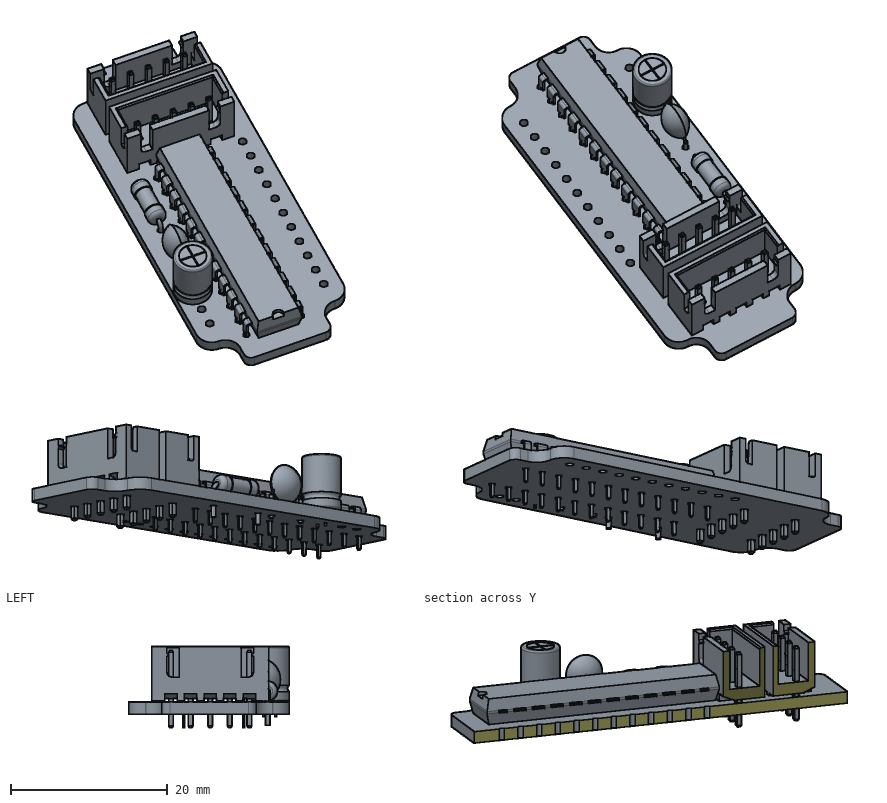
import cadquery as cq
import math


BOARD_LENGTH = 51.0
BOARD_WIDTH = 20.5
BOARD_THICKNESS = 1.6
WIDE_HALF_LENGTH = 21.25
TAB_HALF_WIDTH = 6.0
MIDDLE_CORNER_RADIUS = 2.15
INNER_CORNER_RADIUS = 2.05
TAB_CORNER_RADIUS = 1.0
HOLE_PITCH = 2.55
HEADER_HOLE_DIAMETER = 1.0
HEADER_ROW_Y = 7.95
LAST_HEADER_HOLE_X = 18.15
BACK_ROW_HOLES = 11
FRONT_ROW_HOLES = 2
CONNECTOR_HOLE_DIAMETER = 0.95
LEAD_HOLE_DIAMETER = 0.8
PIN_BOTTOM = -3.3
PIN_TIP_HEIGHT = 0.25

CONNECTOR_MIDDLE_X = -14.8
CONNECTOR_MIDDLE_Y = -0.15
CONNECTOR_PIN_OFFSET = 3.95
CONNECTOR_WIDTH = 5.7
CONNECTOR_LENGTH = 14.95
CONNECTOR_BASE = 0.1
CONNECTOR_TOP = 7.1
SLOTTED_FACE_X = -2.35
SLOTTED_WALL = 0.9
BACK_WALL = 0.75
END_WALL = 0.85
RIM_CHAMFER = 0.2
CONNECTOR_FLOOR = 2.0
END_SLOT_WIDTH = 0.95
END_SLOT_BOTTOM = 3.85
END_SLOT_FILLET = 0.4
KEY_SLOT_WIDTH = 1.6
KEY_SLOT_OFFSET = 4.75
KEY_SLOT_BOTTOM = 3.15
KEY_SLOT_FILLET = 0.7
LATCH_Z = 6.0
LATCH_HEIGHT = 0.5
LATCH_DEPTH = 0.25
CONNECTOR_PINS = 5
CONNECTOR_PIN_PITCH = 2.5
CONNECTOR_PIN_SIZE = 0.6
CONNECTOR_PIN_TOP = 6.6
CHANNEL_WIDTH = 1.6
CHANNEL_TOP = 0.4
CHANNEL_MOUTH_TOP = 1.05
CHANNEL_MOUTH_DEPTH = 1.55

CHIP_X = 7.7
CHIP_Y = -0.6
CHIP_LENGTH = 31.75
CHIP_WIDTH = 6.25
CHIP_BOTTOM = 0.45
CHIP_WAIST_BOTTOM = 2.05
CHIP_WAIST_TOP = 2.35
CHIP_TOP = 3.9
CHIP_SLOPE_INSET = 0.35
CHIP_NOTCH_RADIUS = 0.75
CHIP_NOTCH_DEPTH = 0.5
LEADS_PER_SIDE = 12
LEAD_ROW_OFFSET = 3.85
LEAD_THICKNESS = 0.25
LEAD_BEND_RADIUS = 0.45
LEAD_SHOULDER_WIDTH = 1.55
LEAD_SHOULDER_BOTTOM = 0.15
LEAD_PIN_WIDTH = 0.5
LEAD_TIP_CHAMFER = 0.15

RESISTOR_X = -2.15
RESISTOR_Y = -7.5
RESISTOR_Z = 1.405
RESISTOR_HALF_LENGTH = 3.2
RESISTOR_CAP_DIAMETER = 2.5
RESISTOR_CORE_DIAMETER = 2.25
RESISTOR_CORE_HALF_LENGTH = 1.6
RESISTOR_CAP_FILLET = 0.65
RESISTOR_LEAD_DIAMETER = 0.6
RESISTOR_LEAD_OFFSET = 3.85
RESISTOR_LEAD_BEND = 0.95
RESISTOR_LEAD_BOTTOM = -3.0

DISC_X = 6.5
DISC_Y = RESISTOR_Y
DISC_Z = 2.85
DISC_RADIUS = 2.5
DISC_HALF_THICKNESS = 1.65
DISC_LEAD_OFFSET = 2.5
DISC_LEAD_DIAMETER = 0.5
DISC_LEAD_TOP = 1.15
DISC_WIRE_DIAMETER = 0.3
DISC_WIRE_INSET = 0.6
DISC_WIRE_TOP = 2.55

CAN_X = 12.35
CAN_Y = -7.75
CAN_RADIUS = 2.5
CAN_BOTTOM = 0.1
CAN_TOP = 7.1
CAN_FILLET = 0.2
CAN_GROOVE_BOTTOM = 1.35
CAN_GROOVE_TOP = 2.15
CAN_GROOVE_DEPTH = 0.2
CAN_VENT_DIAMETER = 3.5
CAN_VENT_DEPTH = 0.05
CAN_SCORE_WIDTH = 0.1
CAN_LEAD_DIAMETER = 0.3
CAN_LEAD_OFFSET = 0.75

SHORT_LEAD_BOTTOM = -BOARD_THICKNESS - 0.3

connector_pin_ys = [CONNECTOR_PIN_PITCH * (i - (CONNECTOR_PINS - 1) / 2) for i in range(CONNECTOR_PINS)]
lead_xs = [HOLE_PITCH * (i - (LEADS_PER_SIDE - 1) / 2) for i in range(LEADS_PER_SIDE)]


def box(x0, x1, y0, y1, z0, z1):
    """Box between two corners."""
    return cq.Workplane("XY").box(x1 - x0, y1 - y0, z1 - z0, centered=False).translate((x0, y0, z0))


def rod(x, y, z0, z1, diameter):
    """Upright cylinder."""
    return cq.Workplane("XY", origin=(x, y, z0)).circle(diameter / 2).extrude(z1 - z0)


def drill(board, points, diameter):
    holes = cq.Workplane("XY").pushPoints(points).circle(diameter / 2).extrude(-BOARD_THICKNESS)
    return board.cut(holes)


def make_board():
    middle = (
        cq.Workplane("XY")
        .rect(2 * WIDE_HALF_LENGTH, BOARD_WIDTH)
        .extrude(-BOARD_THICKNESS)
        .edges("|Z")
        .fillet(MIDDLE_CORNER_RADIUS)
    )
    tabs = (
        cq.Workplane("XY")
        .rect(BOARD_LENGTH, 2 * TAB_HALF_WIDTH)
        .extrude(-BOARD_THICKNESS)
        .edges("|Z")
        .fillet(TAB_CORNER_RADIUS)
    )
    inner_corners = cq.selectors.BoxSelector(
        (-WIDE_HALF_LENGTH - 0.5, -TAB_HALF_WIDTH - 0.5, -BOARD_THICKNESS),
        (WIDE_HALF_LENGTH + 0.5, TAB_HALF_WIDTH + 0.5, 0),
    )
    board = middle.union(tabs).edges("|Z").edges(inner_corners).fillet(INNER_CORNER_RADIUS)

    header_xs = [LAST_HEADER_HOLE_X - HOLE_PITCH * i for i in range(BACK_ROW_HOLES)]
    header_points = [(x, HEADER_ROW_Y) for x in header_xs]
    header_points += [(x, -HEADER_ROW_Y) for x in header_xs[:FRONT_ROW_HOLES]]
    board = drill(board, header_points, HEADER_HOLE_DIAMETER)

    chip_points = [(CHIP_X + x, CHIP_Y + s * LEAD_ROW_OFFSET) for x in lead_xs for s in (-1, 1)]
    connector_points = [
        (CONNECTOR_MIDDLE_X + s * CONNECTOR_PIN_OFFSET, CONNECTOR_MIDDLE_Y + y)
        for y in connector_pin_ys
        for s in (-1, 1)
    ]
    board = drill(board, connector_points, CONNECTOR_HOLE_DIAMETER)

    resistor_points = [(RESISTOR_X + s * RESISTOR_LEAD_OFFSET, RESISTOR_Y) for s in (-1, 1)]
    disc_points = [(DISC_X + s * DISC_LEAD_OFFSET, DISC_Y) for s in (-1, 1)]
    board = drill(board, chip_points + resistor_points + disc_points, LEAD_HOLE_DIAMETER)

    can_points = [(CAN_X, CAN_Y + s * CAN_LEAD_OFFSET) for s in (-1, 1)]
    return drill(board, can_points, CAN_LEAD_DIAMETER)


def connector_pin(y):
    half = CONNECTOR_PIN_SIZE / 2
    pin = box(-half, half, y - half, y + half, PIN_BOTTOM, CONNECTOR_PIN_TOP)
    return pin.faces("<Z or >Z").chamfer(PIN_TIP_HEIGHT, half / 2)


def connector_channel(y):
    """Channel under the connector whose roof rises towards the slotted face."""
    mouth_end_x = SLOTTED_FACE_X + CHANNEL_MOUTH_DEPTH
    back_x = SLOTTED_FACE_X + CONNECTOR_WIDTH
    return (
        cq.Workplane("XZ", origin=(0, y, 0))
        .moveTo(SLOTTED_FACE_X, 0)
        .lineTo(SLOTTED_FACE_X, CHANNEL_MOUTH_TOP)
        .lineTo(mouth_end_x, CHANNEL_TOP)
        .lineTo(back_x, CHANNEL_TOP)
        .lineTo(back_x, 0)
        .close()
        .extrude(CHANNEL_WIDTH / 2, both=True)
    )


def latch_ridge(side):
    """Small triangular ridge on the outer flank of a slot in the slotted wall."""
    flank_y = side * (KEY_SLOT_OFFSET + KEY_SLOT_WIDTH / 2)
    return (
        cq.Workplane("YZ", origin=(SLOTTED_FACE_X, 0, 0))
        .moveTo(flank_y, LATCH_Z - LATCH_HEIGHT / 2)
        .lineTo(flank_y - side * LATCH_DEPTH, LATCH_Z)
        .lineTo(flank_y, LATCH_Z + LATCH_HEIGHT / 2)
        .close()
        .extrude(SLOTTED_WALL)
    )


def make_connector():
    """Shrouded five-pin connector about the middle of its pin row, slotted wall towards -X."""
    half_length = CONNECTOR_LENGTH / 2
    back_x = SLOTTED_FACE_X + CONNECTOR_WIDTH
    inner_front_x = SLOTTED_FACE_X + SLOTTED_WALL
    inner_back_x = back_x - BACK_WALL
    inner_half_length = half_length - END_WALL

    shell = box(SLOTTED_FACE_X, back_x, -half_length, half_length, CONNECTOR_BASE, CONNECTOR_TOP)
    cavity = box(inner_front_x, inner_back_x, -inner_half_length, inner_half_length, CONNECTOR_FLOOR, CONNECTOR_TOP)

    rim = (
        cq.Workplane("XY", origin=(0, 0, CONNECTOR_TOP))
        .rect(2 * (inner_back_x + RIM_CHAMFER), 2 * (inner_half_length + RIM_CHAMFER))
        .workplane(offset=-RIM_CHAMFER)
        .rect(2 * inner_back_x, 2 * inner_half_length)
        .loft(ruled=True)
    )
    rim = rim.intersect(
        box(inner_front_x, back_x, -half_length, half_length, CONNECTOR_FLOOR, CONNECTOR_TOP)
    )
    shell = shell.cut(cavity).cut(rim)

    end_slot = box(
        inner_front_x, inner_front_x + END_SLOT_WIDTH, -half_length, half_length, END_SLOT_BOTTOM, CONNECTOR_TOP
    )
    shell = shell.cut(end_slot.edges("|Y and <X and <Z").fillet(END_SLOT_FILLET))

    for side in (-1, 1):
        middle_y = side * KEY_SLOT_OFFSET
        key_slot = box(
            SLOTTED_FACE_X,
            inner_front_x,
            middle_y - KEY_SLOT_WIDTH / 2,
            middle_y + KEY_SLOT_WIDTH / 2,
            KEY_SLOT_BOTTOM,
            CONNECTOR_TOP,
        )
        outer_corner = "|X and <Z and >Y" if side > 0 else "|X and <Z and <Y"
        shell = shell.cut(key_slot.edges(outer_corner).fillet(KEY_SLOT_FILLET)).union(latch_ridge(side))

    for y in connector_pin_ys:
        shell = shell.cut(connector_channel(y))
    for y in connector_pin_ys:
        shell = shell.union(connector_pin(y))
    return shell


def chip_half(z_waist, z_end):
    """Part of the chip's body that narrows from its waist to its top or bottom."""
    return (
        cq.Workplane("XY", origin=(0, 0, z_waist))
        .rect(CHIP_LENGTH, CHIP_WIDTH)
        .workplane(offset=z_end - z_waist)
        .rect(CHIP_LENGTH - 2 * CHIP_SLOPE_INSET, CHIP_WIDTH - 2 * CHIP_SLOPE_INSET)
        .loft(ruled=True)
    )


def chip_lead(x, shoulder_left, shoulder_right):
    """Lead on the +Y side: bent shoulder plate with a narrow pin below it."""
    outer_y = LEAD_ROW_OFFSET + LEAD_THICKNESS / 2
    inner_y = outer_y - LEAD_THICKNESS
    inner_bend = LEAD_BEND_RADIUS - LEAD_THICKNESS
    top = (CHIP_WAIST_BOTTOM + CHIP_WAIST_TOP + LEAD_THICKNESS) / 2
    underside = top - LEAD_THICKNESS
    root_y = CHIP_WIDTH / 2 - CHIP_SLOPE_INSET
    bend_y = outer_y - LEAD_BEND_RADIUS
    bend_z = top - LEAD_BEND_RADIUS
    diagonal = math.sqrt(0.5)
    plate = (
        cq.Workplane("YZ", origin=(x - shoulder_left, 0, 0))
        .moveTo(root_y, top)
        .lineTo(bend_y, top)
        .threePointArc(
            (bend_y + LEAD_BEND_RADIUS * diagonal, bend_z + LEAD_BEND_RADIUS * diagonal), (outer_y, bend_z)
        )
        .lineTo(outer_y, LEAD_SHOULDER_BOTTOM)
        .lineTo(inner_y, LEAD_SHOULDER_BOTTOM)
        .lineTo(inner_y, bend_z)
        .threePointArc((bend_y + inner_bend * diagonal, bend_z + inner_bend * diagonal), (bend_y, underside))
        .lineTo(root_y, underside)
        .close()
        .extrude(shoulder_left + shoulder_right)
    )
    half = LEAD_PIN_WIDTH / 2
    pin = box(x - half, x + half, inner_y, outer_y, PIN_BOTTOM, bend_z)
    pin = pin.edges("<Z and |Y").chamfer(PIN_TIP_HEIGHT, LEAD_TIP_CHAMFER)
    return plate.union(pin)


def make_chip():
    waist = cq.Workplane("XY", origin=(0, 0, CHIP_WAIST_BOTTOM)).rect(CHIP_LENGTH, CHIP_WIDTH)
    waist = waist.extrude(CHIP_WAIST_TOP - CHIP_WAIST_BOTTOM)
    chip = waist.union(chip_half(CHIP_WAIST_TOP, CHIP_TOP)).union(chip_half(CHIP_WAIST_BOTTOM, CHIP_BOTTOM))

    notch_x = CHIP_LENGTH / 2 - CHIP_SLOPE_INSET
    chip = chip.cut(rod(notch_x, 0, CHIP_TOP - CHIP_NOTCH_DEPTH, CHIP_TOP, 2 * CHIP_NOTCH_RADIUS))

    shoulder = LEAD_SHOULDER_WIDTH / 2
    pin_half = LEAD_PIN_WIDTH / 2
    for x in lead_xs:
        shoulder_left = pin_half if x == lead_xs[0] else shoulder
        shoulder_right = pin_half if x == lead_xs[-1] else shoulder
        lead = chip_lead(x, shoulder_left, shoulder_right)
        chip = chip.union(lead).union(lead.mirror("XZ"))
    return chip.translate((CHIP_X, CHIP_Y, 0))


def resistor_lead():
    """Lead on the +X side of a resistor on the X axis, bent down to its pin."""
    lead_path = (
        cq.Workplane("XZ")
        .lineTo(RESISTOR_LEAD_OFFSET - RESISTOR_LEAD_BEND, 0)
        .radiusArc((RESISTOR_LEAD_OFFSET, -RESISTOR_LEAD_BEND), RESISTOR_LEAD_BEND)
        .lineTo(RESISTOR_LEAD_OFFSET, RESISTOR_LEAD_BOTTOM - RESISTOR_Z)
    )
    return cq.Workplane("YZ").circle(RESISTOR_LEAD_DIAMETER / 2).sweep(lead_path)


def make_resistor():
    body = (
        cq.Workplane("YZ", origin=(-RESISTOR_CORE_HALF_LENGTH, 0, 0))
        .circle(RESISTOR_CORE_DIAMETER / 2)
        .extrude(2 * RESISTOR_CORE_HALF_LENGTH)
    )
    cap = (
        cq.Workplane("YZ", origin=(RESISTOR_CORE_HALF_LENGTH, 0, 0))
        .circle(RESISTOR_CAP_DIAMETER / 2)
        .extrude(RESISTOR_HALF_LENGTH - RESISTOR_CORE_HALF_LENGTH)
        .faces(">X")
        .edges()
        .fillet(RESISTOR_CAP_FILLET)
    )
    side = cap.union(resistor_lead())
    resistor = body.union(side).union(side.mirror("YZ"))
    return resistor.translate((RESISTOR_X, RESISTOR_Y, RESISTOR_Z))


def make_disc_capacitor():
    """Lens of two spherical faces that stands on two stepped leads."""
    sphere_radius = (DISC_RADIUS**2 + DISC_HALF_THICKNESS**2) / (2 * DISC_HALF_THICKNESS)
    centre_offset = sphere_radius - DISC_HALF_THICKNESS
    front = cq.Workplane("XZ").sphere(sphere_radius).translate((0, centre_offset, 0))
    back = cq.Workplane("XZ").sphere(sphere_radius).translate((0, -centre_offset, 0))
    lens = front.intersect(back)
    capacitor = lens.translate((0, 0, DISC_Z))
    for side in (-1, 1):
        lead_x = side * DISC_LEAD_OFFSET
        lead = rod(lead_x, 0, SHORT_LEAD_BOTTOM, DISC_LEAD_TOP, DISC_LEAD_DIAMETER)
        wire_start_z = DISC_LEAD_TOP - DISC_WIRE_DIAMETER / 2
        wire_path = (
            cq.Workplane("XZ")
            .moveTo(lead_x, wire_start_z)
            .lineTo(side * (DISC_LEAD_OFFSET - DISC_WIRE_INSET), DISC_WIRE_TOP)
        )
        wire = (
            cq.Workplane("XY", origin=(lead_x, 0, wire_start_z)).circle(DISC_WIRE_DIAMETER / 2).sweep(wire_path)
        )
        capacitor = capacitor.union(lead).union(wire)
    return capacitor.translate((DISC_X, DISC_Y, 0))


def make_can_capacitor():
    can = rod(0, 0, CAN_BOTTOM, CAN_TOP, 2 * CAN_RADIUS).edges("%CIRCLE").fillet(CAN_FILLET)

    groove = (
        cq.Workplane("XZ")
        .moveTo(CAN_RADIUS, CAN_GROOVE_BOTTOM)
        .threePointArc(
            (CAN_RADIUS - CAN_GROOVE_DEPTH, (CAN_GROOVE_BOTTOM + CAN_GROOVE_TOP) / 2),
            (CAN_RADIUS, CAN_GROOVE_TOP),
        )
        .close()
        .revolve(360, (0, 0, 0), (0, 1, 0))
    )
    vent_floor = CAN_TOP - CAN_VENT_DEPTH
    vent = rod(0, 0, vent_floor, CAN_TOP, CAN_VENT_DIAMETER)
    half = CAN_VENT_DIAMETER / 2
    score = box(-half, half, -CAN_SCORE_WIDTH / 2, CAN_SCORE_WIDTH / 2, vent_floor - CAN_VENT_DEPTH, CAN_TOP)
    scores = score.union(score.rotate((0, 0, 0), (0, 0, 1), 90))
    can = can.cut(groove).cut(vent).cut(scores)

    for side in (-1, 1):
        can = can.union(
            rod(0, side * CAN_LEAD_OFFSET, SHORT_LEAD_BOTTOM, CAN_BOTTOM + CAN_FILLET, CAN_LEAD_DIAMETER)
        )
    return can.translate((CAN_X, CAN_Y, 0))


board = make_board()
connectors = []
for turn in (0, 180):
    connector = make_connector().translate((-CONNECTOR_PIN_OFFSET, 0, 0))
    connector = connector.rotate((0, 0, 0), (0, 0, 1), turn)
    connectors.append(connector.translate((CONNECTOR_MIDDLE_X, CONNECTOR_MIDDLE_Y, 0)))
chip = make_chip()
resistor = make_resistor()
disc_capacitor = make_disc_capacitor()
can_capacitor = make_can_capacitor()

result = cq.Compound.makeCompound(
    [
        board.val(),
        *[connector.val() for connector in connectors],
        chip.val(),
        resistor.val(),
        disc_capacitor.val(),
        can_capacitor.val(),
    ]
)